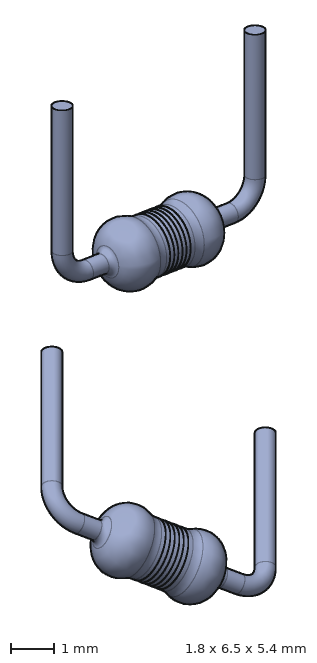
import cadquery as cq
import math

length = 6.5
height = 5.4
wire_diameter = 0.5
bend_radius = 0.75

bulge_diameter = 1.8
bulge_arc_radius = 0.64
bulge_offset = 0.97
fillet_end = 1.77

band_diameter = 1.55
waist_diameter = 1.53
band_count = 4
band_width = 0.125
band_pitch = 0.255

wire_radius = wire_diameter / 2
band_radius = band_diameter / 2
groove_width = band_pitch - band_width
leg_offset = length / 2 - wire_radius
leg_top = height - bulge_diameter / 2
bands_half_length = ((band_count - 1) * band_pitch + band_width) / 2
bulge_center = (bulge_offset, bulge_diameter / 2 - bulge_arc_radius)


def concave_arc(axial, radial):
    """Arc tangent to the bulge arc and, at (axial, radial), to a cylinder around the axis.

    Returns the middle point of the arc and its contact point on the bulge arc.
    """
    run = axial - bulge_center[0]
    rise = radial - bulge_center[1]
    radius = (run**2 + rise**2 - bulge_arc_radius**2) / (2 * (bulge_arc_radius - rise))
    center_radial = radial + radius
    center_angle = math.atan2(rise + radius, run)
    contact = (
        bulge_center[0] + bulge_arc_radius * math.cos(center_angle),
        bulge_center[1] + bulge_arc_radius * math.sin(center_angle),
    )
    middle_angle = (center_angle - math.pi - math.pi / 2) / 2
    middle = (
        axial + radius * math.cos(middle_angle),
        center_radial + radius * math.sin(middle_angle),
    )
    return middle, contact


def make_body():
    """Revolve the double-bulged body, symmetric about mid-length, around the Y axis."""
    waist_middle, waist_contact = concave_arc(bands_half_length, band_radius)
    wire_middle, wire_contact = concave_arc(fillet_end, wire_radius)
    bulge_peak = (bulge_offset, bulge_diameter / 2)

    def front(point):
        axial, radial = point
        return radial, -axial

    def back(point):
        axial, radial = point
        return radial, axial

    return (
        cq.Workplane("XY")
        .moveTo(0, -fillet_end)
        .lineTo(wire_radius, -fillet_end)
        .threePointArc(front(wire_middle), front(wire_contact))
        .threePointArc(front(bulge_peak), front(waist_contact))
        .threePointArc(front(waist_middle), (band_radius, -bands_half_length))
        .lineTo(band_radius, bands_half_length)
        .threePointArc(back(waist_middle), back(waist_contact))
        .threePointArc(back(bulge_peak), back(wire_contact))
        .threePointArc(back(wire_middle), (wire_radius, fillet_end))
        .lineTo(0, fillet_end)
        .close()
        .revolve(360, (0, 0, 0), (0, 1, 0))
    )


def make_groove(y_center):
    """Shallow ring that separates two neighbouring colour bands."""
    return (
        cq.Workplane("XZ", origin=(0, y_center + groove_width / 2, 0))
        .circle(bulge_diameter / 2)
        .circle(waist_diameter / 2)
        .extrude(groove_width)
    )


def make_lead():
    """Sweep one wire from mid-length outwards, round the bend and up the leg."""
    bend_start = leg_offset - bend_radius
    bend_middle = (
        bend_start + bend_radius * math.sin(math.pi / 4),
        bend_radius * (1 - math.cos(math.pi / 4)),
    )
    path = (
        cq.Workplane("YZ")
        .lineTo(bend_start, 0)
        .threePointArc(bend_middle, (leg_offset, bend_radius))
        .lineTo(leg_offset, leg_top)
    )
    return cq.Workplane("XZ").circle(wire_radius).sweep(path)


lead = make_lead()
result = make_body().union(lead).union(lead.mirror("XZ"))
for gap in range(band_count - 1):
    groove_center = (gap - (band_count - 2) / 2) * band_pitch
    result = result.cut(make_groove(groove_center))